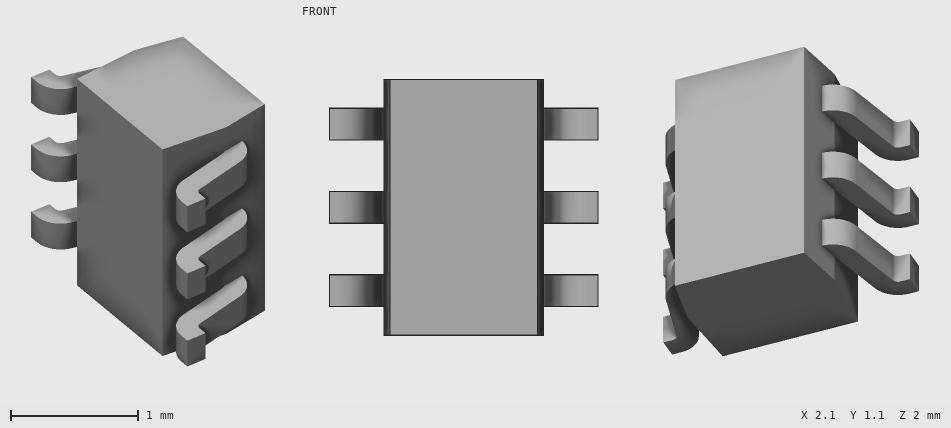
import cadquery as cq
import math

overall_width = 2.1
overall_depth = 1.1

housing_height = 2.0
standoff = 0.1
parting_y = 0.678
parting_width = 1.25
mounting_face_width = 1.15
outer_face_width = 1.1

leads_per_side = 3
lead_pitch = 0.65
lead_width = 0.25
lead_thickness = 0.175
lead_top_y = 0.85
foot_length = 0.08
inner_radius = 0.05
outer_radius = inner_radius + lead_thickness
lead_slope = math.radians(13.5)


def prism(outline, height):
    """Extrude a closed XY outline along Z, centred on Z = 0."""
    return outline.extrude(height / 2, both=True)


def make_housing():
    half_outline = [
        (mounting_face_width / 2, standoff),
        (parting_width / 2, parting_y),
        (outer_face_width / 2, overall_depth),
    ]
    mirrored_half = [(-x, y) for x, y in reversed(half_outline)]
    outline = cq.Workplane("XY").polyline(half_outline + mirrored_half).close()
    return prism(outline, housing_height)


def make_left_lead(housing):
    """Lead on the -X side at mid-height, ending flush with the housing side."""
    foot_end_x = -overall_width / 2
    foot_bend_x = foot_end_x + foot_length
    foot_bend_y = outer_radius
    top_bend_y = lead_top_y - outer_radius
    bend_rise = top_bend_y - foot_bend_y
    bend_run = (outer_radius + inner_radius + bend_rise * math.sin(lead_slope)) / math.cos(lead_slope)
    top_bend_x = foot_bend_x + bend_run
    mid_angle = (math.pi / 2 + lead_slope) / 2

    def on_foot_bend(radius, angle):
        return (foot_bend_x + radius * math.cos(angle), foot_bend_y - radius * math.sin(angle))

    def on_top_bend(radius, angle):
        return (top_bend_x - radius * math.cos(angle), top_bend_y + radius * math.sin(angle))

    outline = (
        cq.Workplane("XY")
        .moveTo(foot_end_x, 0)
        .lineTo(foot_bend_x, 0)
        .threePointArc(on_foot_bend(outer_radius, mid_angle), on_foot_bend(outer_radius, lead_slope))
        .lineTo(*on_top_bend(inner_radius, lead_slope))
        .threePointArc(on_top_bend(inner_radius, mid_angle), (top_bend_x, top_bend_y + inner_radius))
        .lineTo(top_bend_x, lead_top_y)
        .threePointArc(on_top_bend(outer_radius, mid_angle), on_top_bend(outer_radius, lead_slope))
        .lineTo(*on_foot_bend(inner_radius, lead_slope))
        .threePointArc(on_foot_bend(inner_radius, mid_angle), (foot_bend_x, foot_bend_y - inner_radius))
        .lineTo(foot_end_x, lead_thickness)
        .close()
    )
    return prism(outline, lead_width).cut(housing)


def make_leads(housing):
    left_lead = make_left_lead(housing)
    right_lead = left_lead.mirror("YZ")
    leads = []
    for index in range(leads_per_side):
        z = (index - (leads_per_side - 1) / 2) * lead_pitch
        for lead in (left_lead, right_lead):
            leads.append(lead.translate((0, 0, z)).solids().val())
    return leads


housing = make_housing()
leads = make_leads(housing)

result = cq.Compound.makeCompound([housing.solids().val(), *leads])